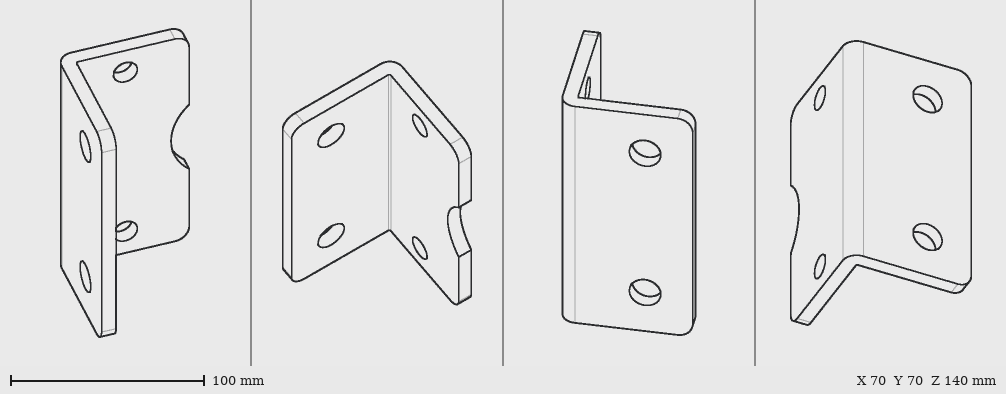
import cadquery as cq

height = 140.0
leg = 70.0
thickness = 8.0
outer_bend_radius = 8.0
inner_bend_radius = 1.0
corner_radius = 8.0

front_hole_diameter = 16.5
front_hole_x = 45.0
front_hole_spacing = 90.0

side_hole_diameter = 13.0
side_hole_y = leg / 2
side_hole_spacing = 110.0

notch_radius = 30.0
notch_depth = 10.0

mid_height = height / 2


def bent_plate():
    """L-shaped plate with its outer bend edge at the origin, rising along Z."""
    profile = [
        (0, 0),
        (leg, 0),
        (leg, thickness),
        (thickness, thickness),
        (thickness, leg),
        (0, leg),
    ]
    plate = cq.Workplane("XY").polyline(profile).close().extrude(height)
    plate = plate.edges(cq.selectors.NearestToPointSelector((0, 0, mid_height))).fillet(outer_bend_radius)
    inner_edge = cq.selectors.NearestToPointSelector((thickness, thickness, mid_height))
    plate = plate.edges(inner_edge).fillet(inner_bend_radius)
    plate = plate.faces(">X").edges("|Y").fillet(corner_radius)
    return plate.faces(">Y").edges("|X").fillet(corner_radius)


def cylinder_along_y(x, z, diameter):
    """Cutter through the leg that runs along X."""
    return cq.Workplane("XZ").center(x, z).circle(diameter / 2).extrude(-thickness)


def cylinder_along_x(y, z, diameter):
    """Cutter through the leg that runs along Y."""
    return cq.Workplane("YZ").center(y, z).circle(diameter / 2).extrude(thickness)


result = bent_plate()

for side in (-1, 1):
    front_hole_z = mid_height + side * front_hole_spacing / 2
    side_hole_z = mid_height + side * side_hole_spacing / 2
    result = result.cut(cylinder_along_y(front_hole_x, front_hole_z, front_hole_diameter))
    result = result.cut(cylinder_along_x(side_hole_y, side_hole_z, side_hole_diameter))

notch_y = leg + notch_radius - notch_depth
result = result.cut(cylinder_along_x(notch_y, mid_height, 2 * notch_radius))